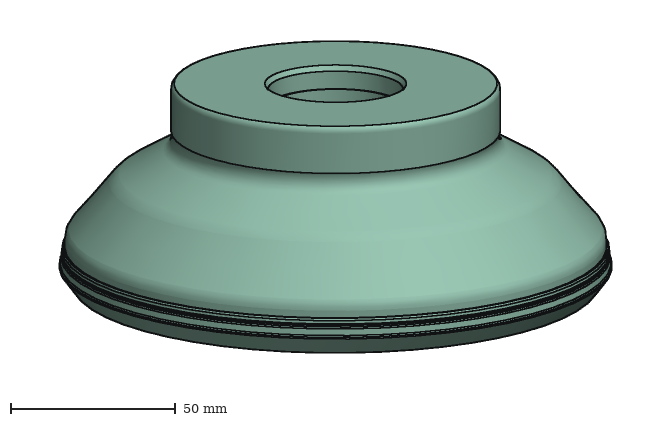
import cadquery as cq
import math

outer_radius = 84.0
total_height = 63.0
joint_height = 11.8

hub_radius = 50.1
hub_top_round_width = 1.0
hub_top_round_height = 2.0
hub_bottom_height = 48.4
lip_width = 0.2
lip_height = 0.5

neck_radius = 5.0
upper_cone_angle = math.radians(30)
lower_cone_angle = math.radians(50)
cone_corner = (67.5, 33.5)
cone_corner_round = 11.3
skirt_radius = 82.4
skirt_round = 5.0

bore_radius = 20.0
counterbore_radius = 20.5
counterbore_floor = 55.8
bore_chamfer_width = 1.0
bore_chamfer_height = 1.7

rim_ledge_radius = 82.9
rim_top_radius = 83.2
rim_chamfer_height = 0.7
rim_bottom_radius = 79.8
rim_bottom_chamfer = 0.5
edge_step = 0.5
band_height = 3 * edge_step
groove_top = 10.1
groove_depth = 0.2
bead_top = 6.5
bead_height = 0.3


def along(point, angle, distance):
    """Point at a distance down a slope that falls outward at the angle."""
    return (point[0] + distance * math.cos(angle), point[1] - distance * math.sin(angle))


def revolve_about_z(profile):
    return profile.close().revolve(360, (0, 0, 0), (0, 1, 0))


def make_hub_body():
    lower_cone_length = (skirt_radius - cone_corner[0]) / math.cos(lower_cone_angle)
    skirt_corner = along(cone_corner, lower_cone_angle, lower_cone_length)

    cone_setback = cone_corner_round * math.tan((lower_cone_angle - upper_cone_angle) / 2)
    skirt_setback = skirt_round * math.tan((math.pi / 2 - lower_cone_angle) / 2)

    neck_start = (hub_radius - lip_width, hub_bottom_height - lip_height)
    clearance = (
        (neck_start[0] - cone_corner[0]) * math.sin(upper_cone_angle)
        + (neck_start[1] - cone_corner[1]) * math.cos(upper_cone_angle)
    )
    distance_to_corner = (
        (cone_corner[0] - neck_start[0]) * math.cos(upper_cone_angle)
        - (cone_corner[1] - neck_start[1]) * math.sin(upper_cone_angle)
    )
    neck_run = math.sqrt(neck_radius**2 - (neck_radius - clearance) ** 2)
    neck_end = along(cone_corner, upper_cone_angle, neck_run - distance_to_corner)

    top_round = (hub_top_round_width**2 + hub_top_round_height**2) / (2 * hub_top_round_width)

    profile = (
        cq.Workplane("YZ")
        .moveTo(bore_radius, joint_height)
        .lineTo(skirt_radius, joint_height)
        .lineTo(skirt_radius, skirt_corner[1] - skirt_setback)
        .radiusArc(along(skirt_corner, lower_cone_angle, -skirt_setback), -skirt_round)
        .lineTo(*along(cone_corner, lower_cone_angle, cone_setback))
        .radiusArc(along(cone_corner, upper_cone_angle, -cone_setback), -cone_corner_round)
        .lineTo(*neck_end)
        .radiusArc(neck_start, neck_radius)
        .lineTo(hub_radius, hub_bottom_height)
        .lineTo(hub_radius, total_height - hub_top_round_height)
        .radiusArc((hub_radius - hub_top_round_width, total_height), -top_round)
        .lineTo(counterbore_radius + bore_chamfer_width, total_height)
        .lineTo(counterbore_radius, total_height - bore_chamfer_height)
        .lineTo(counterbore_radius, counterbore_floor)
        .lineTo(bore_radius, counterbore_floor)
    )
    return revolve_about_z(profile)


def make_rim_disc():
    wall_top = joint_height - rim_chamfer_height
    bead_base_radius = outer_radius - bead_height
    bead_bottom = bead_top - band_height
    groove_bottom = groove_top - band_height

    def wall_radius(height):
        """Radius of the slightly tapered rim wall."""
        taper = (bead_base_radius - rim_top_radius) / (wall_top - bead_top)
        return rim_top_radius + (wall_top - height) * taper

    groove_floor_radius = wall_radius(groove_top) - groove_depth

    profile = (
        cq.Workplane("YZ")
        .moveTo(bore_radius, 0)
        .lineTo(rim_bottom_radius, 0)
        .lineTo(rim_bottom_radius + rim_bottom_chamfer, rim_bottom_chamfer)
        .lineTo(bead_base_radius, bead_bottom)
        .lineTo(outer_radius, bead_bottom + edge_step)
        .lineTo(outer_radius, bead_top - edge_step)
        .lineTo(bead_base_radius, bead_top)
        .lineTo(wall_radius(groove_bottom), groove_bottom)
        .lineTo(groove_floor_radius, groove_bottom + edge_step)
        .lineTo(groove_floor_radius, groove_top - edge_step)
        .lineTo(wall_radius(groove_top), groove_top)
        .lineTo(rim_top_radius, wall_top)
        .lineTo(rim_ledge_radius, joint_height)
        .lineTo(bore_radius, joint_height)
    )
    return revolve_about_z(profile)


hub_body = make_hub_body()
rim_disc = make_rim_disc()
result = cq.Compound.makeCompound([hub_body.val(), rim_disc.val()])